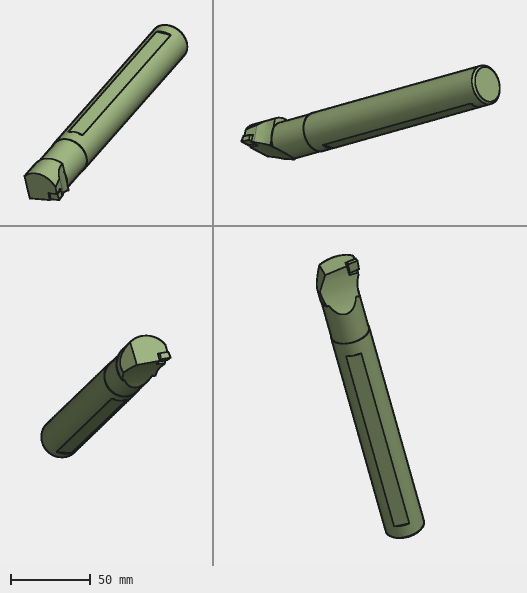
import cadquery as cq
import math

overall_length = 200.0

shank_diameter = 25.0
shank_start = 50.4
shank_chamfer = 1.4
neck_diameter = 24.4
flat_width = 9.8
flat_length = 130.0
flat_end_margin = 10.0

head_radius = 14.7
head_offset = head_radius - shank_diameter / 2
head_length = 22.0

roll_angle = 13.0
rake_height = -3.8
flute_radius = 52.0
flute_start = 0.8

end_setback = 2.0
lead_angle = 5.0
face_relief_angle = 3.7

corner_x = -5.8
corner_y = 2.5
corner_angle = 32.0

flank_back_x = 11.5
flank_upper = (12.0, 16.0)
flank_lower = (14.5, 9.4)
flank_tip_x = 15.5

insert_tip_x = 16.5
insert_side = 6.4
insert_corner_angle = 80.0
insert_clearance_angle = 7.0
insert_bottom = -3.0
pocket_roof = 1.0
pocket_left_x = 9.2
pocket_depth = 7.5

reach = 60.0


def rolled(body):
    """Turn a body from the cutting frame into its place on the bar."""
    return body.rotate((0, 0, 0), (0, 1, 0), -roll_angle)


def cylinder_along_y(radius, start, end, x=0.0):
    return (
        cq.Workplane("XZ", origin=(x, start, 0))
        .circle(radius)
        .extrude(start - end)
    )


def make_shank():
    shank = cylinder_along_y(shank_diameter / 2, shank_start, overall_length)
    shank = shank.faces(">Y").chamfer(shank_chamfer)
    flat_height = math.sqrt(shank_diameter**2 - flat_width**2) / 2
    flat_centre = overall_length - flat_end_margin - flat_length / 2
    for side in (1, -1):
        flat_cut = cq.Workplane("XY").box(shank_diameter, flat_length, shank_diameter).translate(
            (0, flat_centre, side * (flat_height + shank_diameter / 2))
        )
        shank = shank.cut(flat_cut)
    return shank


def make_flute_cut():
    """Concave chip flute: everything below an arc that starts level at the tip."""
    arc_centre_z = rake_height - flute_radius
    flute = (
        cq.Workplane("YZ", origin=(-reach, 0, 0))
        .center(flute_start, arc_centre_z)
        .circle(flute_radius)
        .extrude(2 * reach)
    )
    return rolled(flute)


def make_end_cut():
    block = cq.Workplane("XY").box(2 * reach, reach, 2 * reach).translate((0, -reach / 2, 0))
    block = block.rotate((0, 0, 0), (0, 0, 1), -lead_angle)
    block = block.rotate((0, 0, 0), (1, 0, 0), -face_relief_angle)
    return rolled(block.translate((0, end_setback, 0)))


def make_corner_cut():
    block = cq.Workplane("XY").box(reach, 2 * reach, 2 * reach).translate((-reach / 2, 0, 0))
    block = block.rotate((0, 0, 0), (0, 0, 1), corner_angle)
    return rolled(block.translate((corner_x, corner_y, 0)))


def make_flank_cut():
    flank = (
        cq.Workplane("XY", origin=(0, 0, -reach))
        .moveTo(flank_back_x, head_length)
        .spline([flank_upper, flank_lower], includeCurrent=True)
        .lineTo(flank_tip_x, 0)
        .lineTo(reach, 0)
        .lineTo(reach, head_length)
        .close()
        .extrude(2 * reach)
    )
    return rolled(flank)


def make_pocket_cut():
    pocket = (
        cq.Workplane("XY", origin=(pocket_left_x, 0, pocket_roof))
        .rect(reach, 2 * pocket_depth)
        .extrude(-reach)
        .translate((reach / 2, 0, 0))
    )
    return rolled(pocket)


def make_holder():
    neck = cylinder_along_y(neck_diameter / 2, head_length, shank_start)
    head = cylinder_along_y(head_radius, 0, head_length, head_offset)
    head = head.cut(make_end_cut()).cut(make_corner_cut())
    head = head.cut(make_flank_cut()).cut(make_pocket_cut())
    body = make_shank().union(neck).union(head).cut(make_flute_cut())
    return body.solids()


def make_insert():
    """Rhombic plate, widest at its cutting face and tapering up to the pocket roof."""
    end_direction = math.radians(180 - lead_angle)
    side_direction = end_direction - math.radians(insert_corner_angle)
    end_edge = (insert_side * math.cos(end_direction), insert_side * math.sin(end_direction))
    side_edge = (insert_side * math.cos(side_direction), insert_side * math.sin(side_direction))
    corners = [
        (0, 0),
        side_edge,
        (side_edge[0] + end_edge[0], side_edge[1] + end_edge[1]),
        end_edge,
    ]
    thickness = pocket_roof - insert_bottom
    inset = thickness * math.tan(math.radians(insert_clearance_angle))
    cutting_outline = cq.Wire.makePolygon([cq.Vector(*corner) for corner in corners], close=True)
    seat_outline = cutting_outline.offset2D(-inset)[0].translate(cq.Vector(0, 0, thickness))
    plate = cq.Solid.makeLoft([cutting_outline, seat_outline], True)
    insert = cq.Workplane(plate).translate((insert_tip_x, 0, insert_bottom))
    return rolled(insert)


holder = make_holder()
insert = make_insert()
result = cq.Compound.makeCompound([holder.val(), insert.val()])